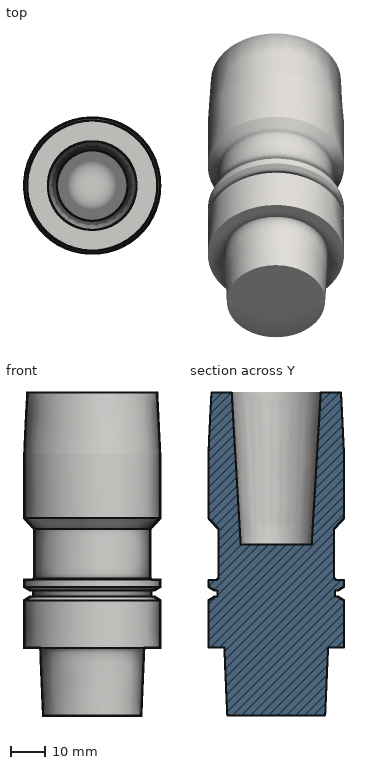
import cadquery as cq

total_length = 95.0
body_diameter = 40.0
body_radius = body_diameter / 2

shank_length = 19.95
shank_bottom_radius = 14.4
shank_top_radius = 15.3

flange_top = 40.0
groove_center = 35.9
groove_mouth_width = 4.0
groove_floor_width = 1.7
groove_radius = 17.4
groove_wall_foot_radius = 18.1

neck_radius = 17.1
neck_foot_chamfer = 0.4
neck_top = 54.9

head_bottom = 58.0
nose_length = 18.2
nose_radius = 19.1

bore_mouth_radius = 13.0
bore_floor_radius = 10.4
bore_depth = 44.65


def make_body():
    """Revolve the outer half profile about the Z axis."""
    mouth_half = groove_mouth_width / 2
    floor_half = groove_floor_width / 2
    profile = [
        (0, 0),
        (shank_bottom_radius, 0),
        (shank_top_radius, shank_length),
        (body_radius, shank_length),
        (body_radius, groove_center - mouth_half),
        (groove_wall_foot_radius, groove_center - floor_half),
        (groove_radius, groove_center - floor_half),
        (groove_radius, groove_center + floor_half),
        (groove_wall_foot_radius, groove_center + floor_half),
        (body_radius, groove_center + mouth_half),
        (body_radius, flange_top),
        (neck_radius + neck_foot_chamfer, flange_top),
        (neck_radius, flange_top + neck_foot_chamfer),
        (neck_radius, neck_top),
        (body_radius, head_bottom),
        (body_radius, total_length - nose_length),
        (nose_radius, total_length),
        (0, total_length),
    ]
    return cq.Workplane("XZ").polyline(profile).close().revolve(360, (0, 0, 0), (0, 1, 0))


def make_bore():
    """Revolve the tapered bore that narrows downwards from the top face."""
    profile = [
        (0, total_length - bore_depth),
        (bore_floor_radius, total_length - bore_depth),
        (bore_mouth_radius, total_length),
        (0, total_length),
    ]
    return cq.Workplane("XZ").polyline(profile).close().revolve(360, (0, 0, 0), (0, 1, 0))


result = make_body().cut(make_bore())